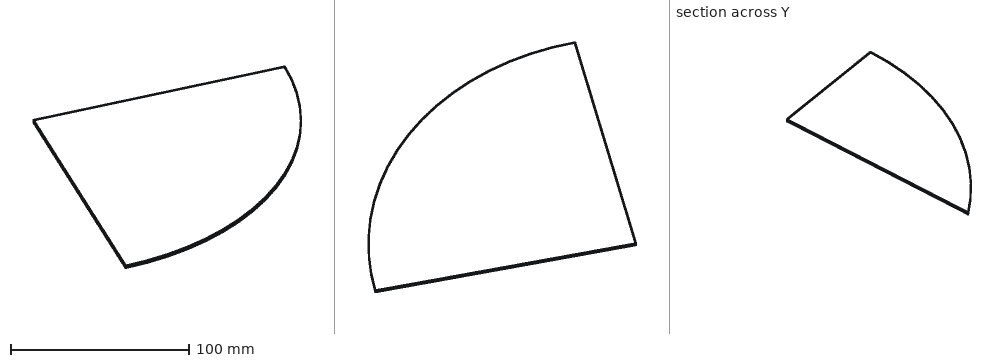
import cadquery as cq

radius = 150.0
thickness = 1.5
sector_angle = 90.0

result = cq.Workplane(cq.Solid.makeCylinder(radius, thickness, angleDegrees=sector_angle))